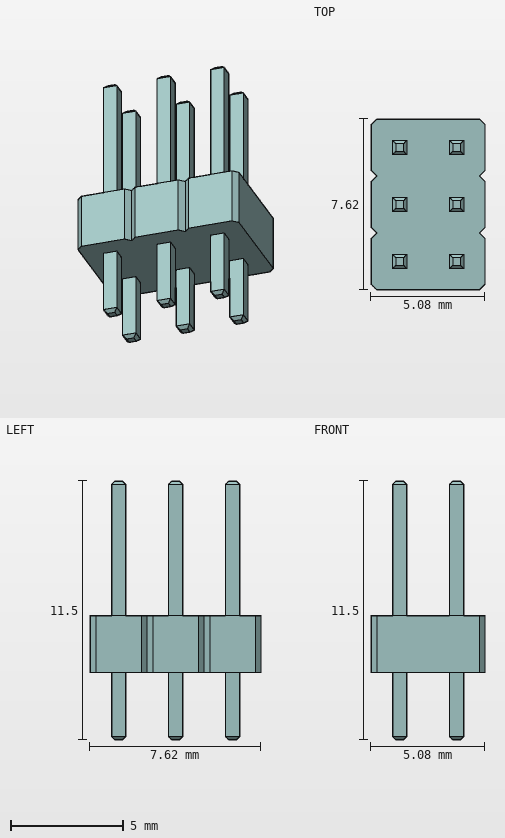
import cadquery as cq

pitch = 2.54
columns = 2
rows = 3
body_height = pitch
corner_chamfer = 0.25
pin_width = 0.64
pin_above = 6.0
pin_below = 3.0
tip_chamfer = 0.15

body_width = columns * pitch
body_length = rows * pitch
pin_length = pin_below + body_height + pin_above


def make_body():
    """Insulator block: chamfered corners and a V notch at each joint between rows."""
    body = (
        cq.Workplane("XY")
        .box(body_width, body_length, body_height, centered=(True, True, False))
        .edges("|Z")
        .chamfer(corner_chamfer)
    )
    for joint in range(1, rows):
        joint_y = joint * pitch - body_length / 2
        for side in (-1, 1):
            outer_x = side * body_width / 2
            inner_x = outer_x - side * corner_chamfer
            notch = (
                cq.Workplane("XY")
                .moveTo(outer_x, joint_y - corner_chamfer)
                .lineTo(inner_x, joint_y)
                .lineTo(outer_x, joint_y + corner_chamfer)
                .close()
                .extrude(body_height)
            )
            body = body.cut(notch)
    return body


def make_pins():
    """Grid of square pins passing through the body, chamfered at both ends."""
    return (
        cq.Workplane("XY")
        .workplane(offset=-pin_below)
        .rarray(pitch, pitch, columns, rows)
        .rect(pin_width, pin_width)
        .extrude(pin_length)
        .faces("<Z or >Z")
        .chamfer(tip_chamfer)
    )


result = make_body().union(make_pins())